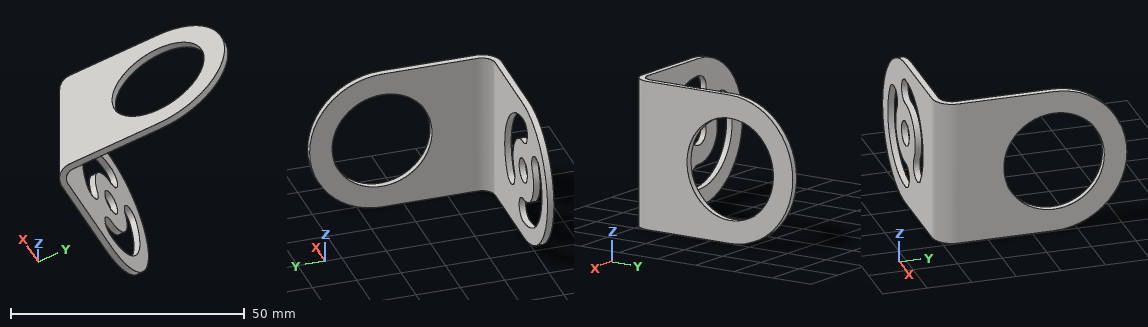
import cadquery as cq
import math

length_x = 39.67
length_y = 42.37
height = 32.7

thickness = 1.5
inner_bend_radius = 3.0
outer_bend_radius = inner_bend_radius + thickness

end_radius = height / 2

pivot_diameter = 5.5
large_hole_diameter = 22.5
slot_width = 5.5
slot_mid_radius = 9.75
slot_start_angle = -30.0
slot_sweep = 120.0
slot_count = 2

front_leg_center_x = end_radius - length_x
side_leg_center_y = length_y - end_radius

front_plane = cq.Plane(origin=(front_leg_center_x, 0, 0), xDir=(1, 0, 0), normal=(0, -1, 0))
side_plane = cq.Plane(origin=(0, side_leg_center_y, 0), xDir=(0, 1, 0), normal=(1, 0, 0))


def polar(radius, angle):
    """Point at a radius and an angle in degrees."""
    radians = math.radians(angle)
    return (radius * math.cos(radians), radius * math.sin(radians))


def make_leg(plane, straight_length):
    """Flat leg from its round end to the start of the bend, along local +x or -x."""
    round_end = cq.Workplane(plane).circle(end_radius).extrude(-thickness)
    straight = (
        cq.Workplane(plane)
        .center(straight_length / 2, 0)
        .rect(abs(straight_length), height)
        .extrude(-thickness)
    )
    return round_end.union(straight)


def make_bend():
    """Quarter-round bend that joins the two legs."""
    center = (-outer_bend_radius, outer_bend_radius)
    ring = (
        cq.Workplane("XY", origin=(*center, -height / 2))
        .circle(outer_bend_radius)
        .circle(inner_bend_radius)
        .extrude(height)
    )
    quadrant = cq.Workplane("XY").box(
        outer_bend_radius, outer_bend_radius, height, centered=(False, False, True)
    ).translate((-outer_bend_radius, 0, 0))
    return ring.intersect(quadrant)


def make_arc_slot(start_angle):
    """Cutter for an arc slot with round ends, concentric with the pivot hole."""
    inner_radius = slot_mid_radius - slot_width / 2
    outer_radius = slot_mid_radius + slot_width / 2
    mid_angle = start_angle + slot_sweep / 2
    end_angle = start_angle + slot_sweep
    start_center = polar(slot_mid_radius, start_angle)
    end_center = polar(slot_mid_radius, end_angle)
    start_step = polar(slot_width / 2, start_angle - 90)
    end_step = polar(slot_width / 2, end_angle + 90)
    start_tip = (start_center[0] + start_step[0], start_center[1] + start_step[1])
    end_tip = (end_center[0] + end_step[0], end_center[1] + end_step[1])
    return (
        cq.Workplane(front_plane)
        .moveTo(*polar(outer_radius, start_angle))
        .threePointArc(polar(outer_radius, mid_angle), polar(outer_radius, end_angle))
        .threePointArc(end_tip, polar(inner_radius, end_angle))
        .threePointArc(polar(inner_radius, mid_angle), polar(inner_radius, start_angle))
        .threePointArc(start_tip, polar(outer_radius, start_angle))
        .close()
        .extrude(-thickness)
    )


def make_round_hole(plane, diameter):
    """Cutter for a round hole through a leg, at the centre of its round end."""
    return cq.Workplane(plane).circle(diameter / 2).extrude(-thickness)


front_leg = make_leg(front_plane, -outer_bend_radius - front_leg_center_x)
side_leg = make_leg(side_plane, outer_bend_radius - side_leg_center_y)

front_leg = front_leg.cut(make_round_hole(front_plane, pivot_diameter))
for index in range(slot_count):
    front_leg = front_leg.cut(make_arc_slot(slot_start_angle + index * 360 / slot_count))

side_leg = side_leg.cut(make_round_hole(side_plane, large_hole_diameter))

result = front_leg.union(make_bend()).union(side_leg)